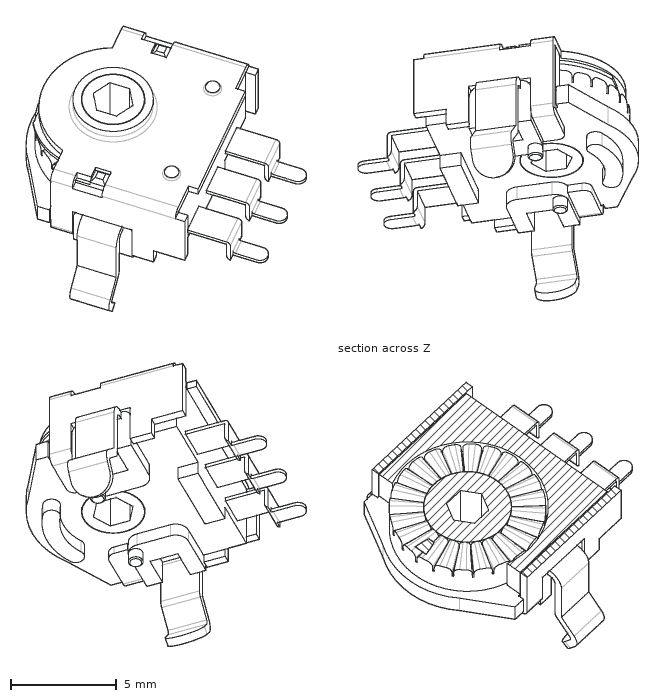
import cadquery as cq
import math


sheet = 0.4
edge_clearance = 0.001

collar_top_z = 5.2
cover_top_z = 4.61
cover_under_z = cover_top_z - sheet
plate_top_z = 1.7
plate_under_z = 0.71
cover_bottom_z = plate_under_z - sheet

cover_front_x = -1.3
cover_back_x = 5.0
back_lip_x = 5.49
cover_half_width = 4.85
flange_inner_y = cover_half_width - sheet

shaft_d = 2.95
bearing_bore_d = 3.0
rotor_d = 7.4
hub_d = 4.15

housing_half_width = 4.4
cavity_r = 3.8
nose_r = 4.11
nose_angle = 35.4
wing_half_width = 4.72
wing_front_x = -2.02
wing_back_x = -1.41

foot_mid_r = 2.95
foot_half_width = 0.42
foot_half_angle = 31.0
rear_foot_front_x = 3.98
rear_foot_width = 3.4

block_front_x = -0.2
block_width = 3.01
block_mid_x = block_front_x + block_width / 2
block_top_z = 2.29
block_top_r = 0.51
leg_inner_y = 1.85
leg_corner_r = 0.65
relief_width = 1.41
relief_depth = 1.57
relief_top_z = 1.28

pin_d = 0.7
pin_x = 0.18
pin_y = 2.38
pin_length = 0.59
pin_chamfer = 0.07

peg_front_x = 0.51
peg_length = 0.79
peg_inner_y = 3.64
peg_width = 0.76
peg_straight_top_z = 4.39
peg_taper = 0.2

cover_nose_r = 3.51
tongue_half_width = 3.1
flange_step_x = 3.9
flange_step_z = 1.18
tab_inner_y = 2.29
slot_inner_y = 4.25
slot_floor_z = 4.1

collar_d = 3.8
collar_foot_d = 4.15
collar_fillet = (collar_foot_d - collar_d) / 2
button_d = 0.7
button_fillet = 0.08
button_height = 0.15
button_x = 4.0
button_y = 2.7

clip_width = 1.98
clip_root_inner_r = 0.33
clip_bend_inner_r = 0.2
clip_reach_y = 6.55
clip_bend_z = -1.96
clip_tip_angle = 37.2
clip_bottom_z = -3.5

tooth_root_z = 2.82
tooth_top_z = 3.4
tooth_count = 24
tooth_corner_r = 0.29
tooth_gap_half = 0.04
tooth_gap_overrun = 0.13
hex_across_corners = 2.0

spring_thickness = 0.2
spring_r = 3.51
spring_x = -0.31
spring_hole_r = 2.38
spring_hole_x = -0.22
spring_front_x = -3.39
spring_front_z = 3.85
spring_fold_x = 1.02
bump_half_width = 0.89
bump_tip_half_width = 0.31
bump_depth = 0.33
bump_tip_start = 0.26

terminal_pitch = 2.5
terminal_width = 1.5
terminal_foot_width = 0.8
terminal_thickness = 0.2
terminal_z = 1.18
terminal_inner_x = 4.32
terminal_bend_x = 7.18
terminal_tip_x = 8.79
terminal_foot_bend_r = 0.12


def block(x0, x1, y0, y1, z0, z1):
    """Box between two opposite corners."""
    return cq.Workplane("XY").box(x1 - x0, y1 - y0, z1 - z0, centered=False).translate((x0, y0, z0))


def disc(diameter, z0, z1):
    """Cylinder on the rotor axis."""
    return cq.Workplane("XY").workplane(offset=z0).circle(diameter / 2).extrude(z1 - z0)


def both_sides(shape):
    """A feature on the +Y side together with its mirror image on the -Y side."""
    return shape.union(shape.mirror("XZ"))


def polar(radius, degrees_from_front):
    """Point at an angle from the -X direction, positive toward +Y."""
    angle = math.radians(degrees_from_front)
    return (-radius * math.cos(angle), radius * math.sin(angle))


def make_base_plate():
    return (
        cq.Workplane("XY").workplane(offset=plate_under_z)
        .moveTo(*polar(nose_r, -nose_angle))
        .threePointArc((-nose_r, 0), polar(nose_r, nose_angle))
        .lineTo(wing_front_x, wing_half_width)
        .lineTo(wing_back_x, wing_half_width)
        .lineTo(wing_back_x, -wing_half_width)
        .lineTo(wing_front_x, -wing_half_width)
        .close()
        .extrude(plate_top_z - plate_under_z)
    )


def make_front_foot():
    outer_r = foot_mid_r + foot_half_width
    inner_r = foot_mid_r - foot_half_width
    cap_angle = foot_half_angle + math.degrees(foot_half_width / foot_mid_r)
    return (
        cq.Workplane("XY")
        .moveTo(*polar(outer_r, -foot_half_angle))
        .threePointArc((-outer_r, 0), polar(outer_r, foot_half_angle))
        .threePointArc(polar(foot_mid_r, cap_angle), polar(inner_r, foot_half_angle))
        .threePointArc((-inner_r, 0), polar(inner_r, -foot_half_angle))
        .threePointArc(polar(foot_mid_r, -cap_angle), polar(outer_r, -foot_half_angle))
        .close()
        .extrude(plate_under_z)
    )


def make_side_block():
    """Leg below the plate, and the boss above it that fills the cover window around the clip root."""
    block_back_x = block_front_x + block_width
    leg = block(block_front_x, block_back_x, leg_inner_y, wing_half_width, 0, plate_under_z)
    leg = leg.edges("|Z and <Y").fillet(leg_corner_r)
    boss = block(block_front_x, block_back_x, housing_half_width, wing_half_width, 0, block_top_z)
    boss = boss.edges("|Y and >Z").fillet(block_top_r)
    clip_root = block(
        block_mid_x - clip_width / 2, block_mid_x + clip_width / 2,
        flange_inner_y, wing_half_width, block_top_z - sheet, block_top_z,
    )
    return leg.union(boss).cut(clip_root)


def make_clip_relief():
    return block(
        block_mid_x - relief_width / 2, block_mid_x + relief_width / 2,
        wing_half_width - relief_depth, wing_half_width, 0, relief_top_z,
    )


def make_pin():
    return (
        cq.Workplane("XY").center(pin_x, pin_y).circle(pin_d / 2).extrude(-pin_length)
        .faces("<Z").chamfer(pin_chamfer)
    )


def make_peg():
    """Peg with a straight foot and a head that tapers in on all four sides."""
    peg_back_x = peg_front_x + peg_length
    peg_outer_y = peg_inner_y + peg_width
    foot = block(peg_front_x, peg_back_x, peg_inner_y, peg_outer_y, cover_under_z, peg_straight_top_z)
    head = (
        foot.faces(">Z").workplane(centerOption="CenterOfBoundBox")
        .rect(peg_length, peg_width)
        .workplane(offset=cover_top_z - peg_straight_top_z)
        .rect(peg_length - 2 * peg_taper, peg_width - 2 * peg_taper)
        .loft(combine=False)
    )
    return foot.union(head)


def make_housing():
    body = block(
        wing_back_x, cover_back_x, -housing_half_width, housing_half_width, plate_under_z, cover_under_z
    )
    front_overhang = block(
        wing_back_x, cover_front_x, -housing_half_width, housing_half_width, plate_top_z, cover_under_z
    )
    rear_foot = block(
        rear_foot_front_x, cover_back_x, -rear_foot_width / 2, rear_foot_width / 2, 0, plate_under_z
    )
    housing = body.cut(front_overhang).cut(disc(2 * cavity_r, plate_top_z, cover_under_z))
    housing = housing.union(make_base_plate()).union(make_front_foot()).union(rear_foot)
    housing = housing.union(both_sides(make_side_block())).cut(both_sides(make_clip_relief()))
    housing = housing.union(both_sides(make_pin())).union(both_sides(make_peg()))
    return housing.cut(disc(bearing_bore_d, plate_under_z, plate_top_z))


def make_cover_top():
    """Top plate with its outer bends, rounded front and rear tongue."""
    top = block(
        cover_front_x, cover_back_x, -cover_half_width, cover_half_width, cover_under_z, cover_top_z
    )
    top = top.edges("|X and >Z").fillet(sheet - edge_clearance)
    tongue = block(
        cover_back_x, back_lip_x, -tongue_half_width, tongue_half_width, cover_under_z, cover_top_z
    )
    return top.union(tongue).union(disc(2 * cover_nose_r, cover_under_z, cover_top_z))


def make_flange():
    """Side wall with its window, stepped rear end and the tab folded under the housing."""
    wall = block(
        block_front_x, back_lip_x, flange_inner_y, cover_half_width, cover_bottom_z, cover_under_z
    )
    step = block(flange_step_x, back_lip_x, flange_inner_y, cover_half_width, cover_bottom_z, flange_step_z)
    window = block(
        block_front_x, block_front_x + block_width,
        flange_inner_y, cover_half_width, cover_bottom_z, block_top_z,
    )
    folded = block(
        cover_front_x, block_front_x, tab_inner_y, cover_half_width, cover_bottom_z, cover_under_z
    )
    folded = folded.edges("|X and <Z and >Y").fillet(sheet)
    folded = folded.edges("|Z and <X and <Y").fillet(sheet)
    above_tab = block(
        cover_front_x, block_front_x, tab_inner_y, flange_inner_y, plate_under_z, cover_under_z
    )
    return wall.cut(step).cut(window).union(folded.cut(above_tab))


def make_clip():
    """Snap clip: out from the window top, down, out at 45 degrees, then back in to a round tip."""
    left_x = block_mid_x - clip_width / 2
    diagonal = math.sqrt(0.5)
    root_outer_r = clip_root_inner_r + sheet
    leg_inner = cover_half_width + clip_root_inner_r
    leg_outer = leg_inner + sheet
    root_z = block_top_z - root_outer_r

    bend_outer_r = clip_bend_inner_r + sheet
    bend_y = clip_reach_y - bend_outer_r
    tip_angle = math.radians(clip_tip_angle)
    tip_normal = (math.cos(tip_angle), -math.sin(tip_angle))

    def on_bend(radius, normal):
        return (bend_y + radius * normal[0], clip_bend_z + radius * normal[1])

    upper_outer = on_bend(bend_outer_r, (diagonal, diagonal))
    upper_inner = on_bend(clip_bend_inner_r, (diagonal, diagonal))
    lower_outer = on_bend(bend_outer_r, tip_normal)
    lower_inner = on_bend(clip_bend_inner_r, tip_normal)
    knee_z = upper_outer[1] + upper_outer[0] - leg_outer
    knee_mid = math.radians(45) / 2

    strip = (
        cq.Workplane("YZ").workplane(offset=left_x)
        .moveTo(flange_inner_y, block_top_z)
        .lineTo(cover_half_width, block_top_z)
        .threePointArc(
            (cover_half_width + root_outer_r * diagonal, root_z + root_outer_r * diagonal),
            (leg_outer, root_z),
        )
        .lineTo(leg_outer, knee_z)
        .lineTo(*upper_outer)
        .threePointArc((clip_reach_y, clip_bend_z), lower_outer)
        .lineTo(*lower_inner)
        .threePointArc((bend_y + clip_bend_inner_r, clip_bend_z), upper_inner)
        .lineTo(leg_outer - sheet * diagonal, knee_z - sheet * diagonal)
        .threePointArc(
            (leg_outer - sheet * math.cos(knee_mid), knee_z - sheet * math.sin(knee_mid)),
            (leg_inner, knee_z),
        )
        .lineTo(leg_inner, root_z)
        .threePointArc(
            (cover_half_width + clip_root_inner_r * diagonal, root_z + clip_root_inner_r * diagonal),
            (cover_half_width, root_z + clip_root_inner_r),
        )
        .lineTo(flange_inner_y, root_z + clip_root_inner_r)
        .close()
        .extrude(clip_width)
    )

    tip_length = (lower_outer[1] - clip_bottom_z) / math.cos(tip_angle)
    tip_straight = tip_length - clip_width / 2
    tip_plane = cq.Plane(
        origin=(block_mid_x, *lower_outer), xDir=(1, 0, 0), normal=(0, -tip_normal[0], -tip_normal[1])
    )
    tip = (
        cq.Workplane(tip_plane)
        .moveTo(-clip_width / 2, 0)
        .lineTo(-clip_width / 2, -tip_straight)
        .threePointArc((0, -tip_length), (clip_width / 2, -tip_straight))
        .lineTo(clip_width / 2, 0)
        .close()
        .extrude(sheet)
    )
    return strip.union(tip)


def make_raised_boss(diameter, fillet, height):
    """Round boss on the cover top with a hollow fillet around its foot."""
    radius = diameter / 2
    inset = fillet * (1 - math.sqrt(0.5))
    return (
        cq.Workplane("XZ")
        .moveTo(0, cover_top_z - sheet)
        .lineTo(radius + fillet, cover_top_z - sheet)
        .lineTo(radius + fillet, cover_top_z)
        .threePointArc((radius + inset, cover_top_z + inset), (radius, cover_top_z + fillet))
        .lineTo(radius, cover_top_z + height)
        .lineTo(0, cover_top_z + height)
        .close()
        .revolve(360, (0, 0, 0), (0, 1, 0))
    )


def make_cover_opening():
    """Opening for a housing peg, joined to a longer slot through the bend."""
    peg_back_x = peg_front_x + peg_length
    peg_hole = block(
        peg_front_x, peg_back_x, peg_inner_y, flange_inner_y, cover_under_z, cover_top_z
    )
    slot = block(
        block_front_x, peg_back_x, slot_inner_y, cover_half_width, slot_floor_z, cover_top_z
    )
    return peg_hole.union(slot)


def make_cover():
    button = make_raised_boss(button_d, button_fillet, button_height).translate((button_x, button_y, 0))
    cover = make_cover_top()
    cover = cover.union(both_sides(make_flange())).union(both_sides(make_clip()))
    cover = cover.union(make_raised_boss(collar_d, collar_fillet, collar_top_z - cover_top_z))
    cover = cover.union(both_sides(button))
    cover = cover.cut(both_sides(make_cover_opening()))
    return cover.cut(disc(bearing_bore_d, cover_under_z, collar_top_z))


def make_tooth_gap():
    """Gap between two teeth: a narrow slit that flares over rounded crests and narrows toward the axis."""
    def section(radius):
        scale = 2 * radius / rotor_d
        slit = tooth_gap_half * scale
        mouth = (tooth_gap_half + tooth_corner_r) * scale
        arc_y = mouth - tooth_corner_r * math.sqrt(0.5) * scale
        arc_z = tooth_top_z - tooth_corner_r * (1 - math.sqrt(0.5))
        return (
            cq.Workplane("YZ").workplane(offset=-radius)
            .moveTo(-slit, tooth_root_z)
            .lineTo(slit, tooth_root_z)
            .lineTo(slit, tooth_top_z - tooth_corner_r)
            .threePointArc((arc_y, arc_z), (mouth, tooth_top_z))
            .lineTo(-mouth, tooth_top_z)
            .threePointArc((-arc_y, arc_z), (-slit, tooth_top_z - tooth_corner_r))
            .close()
            .wire().val()
        )

    inner = section(hub_d / 2)
    outer = section(rotor_d / 2 + tooth_gap_overrun)
    return cq.Workplane(cq.Solid.makeLoft([inner, outer], True))


def make_rotor():
    rotor = disc(rotor_d, plate_top_z, tooth_top_z)
    gap = make_tooth_gap()
    for index in range(tooth_count):
        rotor = rotor.cut(gap.rotate((0, 0, 0), (0, 0, 1), index * 360 / tooth_count))
    rotor = rotor.union(disc(hub_d, plate_top_z, cover_under_z))
    rotor = rotor.union(disc(shaft_d, plate_under_z, collar_top_z))
    hexagon = cq.Workplane("XY").polygon(6, hex_across_corners).extrude(collar_top_z)
    return rotor.cut(hexagon)


def make_spring():
    """Ring that lies on the cover behind its fold and slopes down in front to a bump between two teeth."""
    slope_run = spring_fold_x - spring_front_x
    slope = math.atan2(cover_under_z - spring_front_z, slope_run)
    back_x = spring_x + spring_r
    fold_inset = spring_thickness * math.tan(slope / 2)
    drop = spring_thickness / math.cos(slope)
    strip = (
        cq.Workplane("XZ")
        .moveTo(spring_front_x, spring_front_z)
        .lineTo(spring_fold_x, cover_under_z)
        .lineTo(back_x, cover_under_z)
        .lineTo(back_x, cover_under_z - spring_thickness)
        .lineTo(spring_fold_x + fold_inset, cover_under_z - spring_thickness)
        .lineTo(spring_front_x, spring_front_z - drop)
        .close()
        .extrude(spring_r, both=True)
    )

    bump_length = slope_run / 2
    middle = block(
        spring_front_x, spring_front_x + bump_length, -bump_half_width, bump_half_width, 0, cover_under_z
    )
    bump_plane = cq.Plane(
        origin=(spring_front_x, 0, spring_front_z),
        xDir=(0, 1, 0),
        normal=(math.cos(slope), 0, math.sin(slope)),
    )
    bump = (
        cq.Workplane(bump_plane).workplane(offset=-spring_thickness)
        .moveTo(-bump_half_width, 0)
        .lineTo(-bump_tip_half_width, -bump_tip_start)
        .threePointArc((0, -bump_depth), (bump_tip_half_width, -bump_tip_start))
        .lineTo(bump_half_width, 0)
        .lineTo(bump_half_width, -spring_thickness)
        .lineTo(bump_tip_half_width, -bump_tip_start - spring_thickness)
        .threePointArc(
            (0, -bump_depth - spring_thickness), (-bump_tip_half_width, -bump_tip_start - spring_thickness)
        )
        .lineTo(-bump_half_width, -spring_thickness)
        .close()
        .extrude(bump_length)
    )
    ring = (
        cq.Workplane("XY").workplane(offset=tooth_top_z)
        .center(spring_x, 0).circle(spring_r)
        .center(spring_hole_x - spring_x, 0).circle(spring_hole_r)
        .extrude(cover_under_z - tooth_top_z)
    )
    front_trim = block(spring_front_x, back_x, -spring_r, spring_r, tooth_top_z, cover_under_z)
    return strip.cut(middle).union(bump).intersect(ring).intersect(front_trim)


def make_terminal():
    """Terminal at Y = 0: flat from the housing, down a vertical leg and out to a narrow round-ended foot."""
    leg_inner_x = terminal_bend_x - terminal_thickness
    top_z = terminal_z + terminal_thickness
    tip_center_x = terminal_tip_x - terminal_foot_width / 2
    diagonal = math.sqrt(0.5)
    foot_outer_r = terminal_foot_bend_r + terminal_thickness
    foot_bend_x = terminal_bend_x + terminal_foot_bend_r
    side = (
        cq.Workplane("XZ")
        .moveTo(terminal_inner_x, terminal_z)
        .lineTo(leg_inner_x, terminal_z)
        .lineTo(leg_inner_x, foot_outer_r)
        .threePointArc(
            (foot_bend_x - foot_outer_r * diagonal, foot_outer_r * (1 - diagonal)), (foot_bend_x, 0)
        )
        .lineTo(terminal_tip_x, 0)
        .lineTo(terminal_tip_x, terminal_thickness)
        .lineTo(foot_bend_x, terminal_thickness)
        .threePointArc(
            (foot_bend_x - terminal_foot_bend_r * diagonal, foot_outer_r - terminal_foot_bend_r * diagonal),
            (terminal_bend_x, foot_outer_r),
        )
        .lineTo(terminal_bend_x, terminal_z)
        .threePointArc(
            (leg_inner_x + terminal_thickness * diagonal, terminal_z + terminal_thickness * diagonal),
            (leg_inner_x, top_z),
        )
        .lineTo(terminal_inner_x, top_z)
        .close()
        .extrude(terminal_width / 2, both=True)
    )
    plan = block(
        terminal_inner_x, terminal_bend_x, -terminal_width / 2, terminal_width / 2, 0, top_z
    )
    foot = block(
        terminal_bend_x, tip_center_x, -terminal_foot_width / 2, terminal_foot_width / 2, 0, top_z
    )
    tip = cq.Workplane("XY").center(tip_center_x, 0).circle(terminal_foot_width / 2).extrude(top_z)
    return side.intersect(plan.union(foot).union(tip))


terminal = make_terminal()
terminals = [terminal.translate((0, row * terminal_pitch, 0)) for row in (-1, 0, 1)]

housing = make_housing()
for inserted in terminals:
    housing = housing.cut(inserted)

cover = make_cover()
rotor = make_rotor()
spring = make_spring()

bodies = [housing, cover, rotor, spring, *terminals]
result = cq.Compound.makeCompound([body.solids().val() for body in bodies])